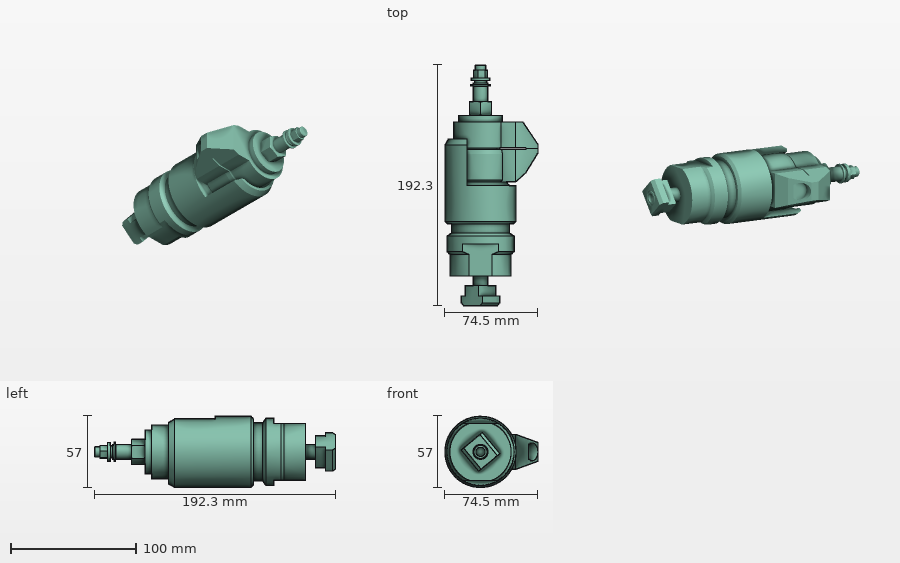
import cadquery as cq
import math


LENGTH = 192.3
ROD_R = 6.0
ROD_NECK_R = 5.0
ROD_TIP_R = 4.2
ROD_CHAMFER = 0.8
TIP_CHAMFER = 0.5
SOCKET_R = 3.7
SOCKET_DEPTH = 7.7

T_NUT_SIDE = 22.0
T_NUT_STEM_WIDTH = 13.8
T_NUT_HEAD_Y = 8.0
T_NUT_END_Y = 16.1
T_NUT_CHAMFER = 2.5
T_NUT_ANGLE = 39.5

BASE_Y = 23.8
BASE_NOSE_R = 24.5
BASE_FLANGE_R = 27.0
BASE_PLUG_R = 23.3
BASE_FLANGE_Y = 43.5
BASE_FLANGE_END_Y = 55.5
BASE_EDGE = 2.5
FLAT_HALF_WIDTH = 22.7
FLAT_END_Y = 49.2
PLUG_CONE = 2.9

HOUSING_R = 28.5
HOUSING_Y = 65.4
HOUSING_END_Y = 133.2
HOUSING_FRONT_CHAMFER = 2.1
HOUSING_REAR_CHAMFER = 2.9
HOUSING_REAR_CHAMFER_LENGTH = 5.0
WINDOW_Y = 96.0
WINDOW_LEFT_X = -10.5
WINDOW_FLOOR_Z = -18.3
WINDOW_FLOOR_SLOPE = 0.37
WINDOW_REACH = 38.5

LOWER_R = 22.5
LOWER_TOP_R = 22.0
LOWER_BOTTOM_CHAMFER = 1.5
LOWER_TAPER_Y = 121.0
PARTING_Y = 125.4
HALF_GAP = 0.5
CORE_R = 13.3
UPPER_R = 21.5
UPPER_END_Y = 146.7
COLLAR_R = 17.5
COLLAR_END_Y = 151.9

LUG_HALF_HEIGHT = 14.0
LUG_TIP_HALF_HEIGHT = 7.5
LUG_TIP_HALF_LENGTH = 3.3
LUG_TAPER_X = 28.0
LUG_LAND_X = 36.1
LUG_TIP_X = 46.0
LUG_KNEE_Y = 106.1
LUG_SHOULDER_X = 33.8
LUG_HOLE_R = 7.1
LUG_HOLE_Y = 114.5
LUG_HOLE_BOTTOM_X = 38.5

HEX_NUT_FLATS = 17.7
HEX_NUT_END_Y = 162.8
HEX_NUT_CORNER_CUT = 0.4
RETAINER_Y = 175.0
RETAINER_END_Y = 177.8
RETAINER_HUB_R = 6.0
RETAINER_FLANGE_R = 7.9
RETAINER_FLANGE_Y = 175.5
RETAINER_FLANGE_END_Y = 176.7
WASHER_R = 7.5
WASHER_Y = 179.5
WASHER_END_Y = 181.9
TIP_NUT_FLATS = 9.8
TIP_NUT_END_Y = 188.0
TIP_NUT_ANGLE = -8.0

LOWER_Y = WINDOW_Y + PLUG_CONE


def turned(points):
    """Revolve an outline of (radius, y) points about the Y axis."""
    return cq.Workplane("XY").polyline(points).close().revolve(360, (0, 0), (0, 1))


def ring(inner_r, outer_r, y_start, y_end):
    return turned([(inner_r, y_start), (outer_r, y_start), (outer_r, y_end), (inner_r, y_end)])


def section(y_start):
    """A work plane across the axis, with its local axes along X and Z."""
    return cq.Workplane("XZ", origin=(0, y_start, 0))


def make_rod():
    rod = turned([
        (0, 0),
        (ROD_R - ROD_CHAMFER, 0),
        (ROD_R, ROD_CHAMFER),
        (ROD_R, RETAINER_Y),
        (ROD_NECK_R, RETAINER_Y),
        (ROD_NECK_R, WASHER_Y),
        (ROD_TIP_R, WASHER_Y),
        (ROD_TIP_R, LENGTH - TIP_CHAMFER),
        (ROD_TIP_R - TIP_CHAMFER, LENGTH),
        (0, LENGTH),
    ])
    socket = section(0).circle(SOCKET_R).extrude(-SOCKET_DEPTH)
    return rod.cut(socket)


def make_t_nut():
    half_side = T_NUT_SIDE / 2
    half_stem = T_NUT_STEM_WIDTH / 2
    right_half = [
        (half_side - T_NUT_CHAMFER, 0),
        (half_side, T_NUT_CHAMFER),
        (half_side, T_NUT_HEAD_Y),
        (half_stem, T_NUT_HEAD_Y),
        (half_stem, T_NUT_END_Y),
    ]
    left_half = [(-x, y) for x, y in reversed(right_half)]
    nut = cq.Workplane("XY").polyline(right_half + left_half).close().extrude(half_side, both=True)
    nut = nut.cut(ring(0, ROD_R, 0, T_NUT_END_Y))
    return nut.rotate((0, 0, 0), (0, 1, 0), -T_NUT_ANGLE)


def make_base():
    base = turned([
        (ROD_R, BASE_Y),
        (BASE_NOSE_R, BASE_Y),
        (BASE_NOSE_R, BASE_FLANGE_Y - BASE_EDGE),
        (BASE_FLANGE_R, BASE_FLANGE_Y),
        (BASE_FLANGE_R, BASE_FLANGE_END_Y),
        (BASE_PLUG_R, BASE_FLANGE_END_Y + BASE_EDGE),
        (BASE_PLUG_R, WINDOW_Y),
        (BASE_PLUG_R - PLUG_CONE, LOWER_Y),
        (ROD_R, LOWER_Y),
    ])
    flat_depth = BASE_FLANGE_R - FLAT_HALF_WIDTH
    for side in (-1, 1):
        flat = (
            section(BASE_Y)
            .center(0, side * (FLAT_HALF_WIDTH + flat_depth / 2))
            .rect(2 * BASE_FLANGE_R, flat_depth)
            .extrude(BASE_Y - FLAT_END_Y)
        )
        base = base.cut(flat)
    return base


def make_housing():
    housing = turned([
        (BASE_PLUG_R, HOUSING_Y),
        (HOUSING_R - HOUSING_FRONT_CHAMFER, HOUSING_Y),
        (HOUSING_R, HOUSING_Y + HOUSING_FRONT_CHAMFER),
        (HOUSING_R, HOUSING_END_Y - HOUSING_REAR_CHAMFER_LENGTH),
        (HOUSING_R - HOUSING_REAR_CHAMFER, HOUSING_END_Y),
        (BASE_PLUG_R, HOUSING_END_Y),
    ])
    window = (
        section(WINDOW_Y)
        .polyline([
            (WINDOW_LEFT_X, WINDOW_REACH),
            (WINDOW_LEFT_X, 0),
            (0, WINDOW_FLOOR_Z),
            (WINDOW_REACH, WINDOW_FLOOR_Z - WINDOW_FLOOR_SLOPE * WINDOW_REACH),
            (WINDOW_REACH, WINDOW_REACH),
        ])
        .close()
        .extrude(WINDOW_Y - HOUSING_END_Y)
    )
    return housing.cut(window)


def lug(side_outline):
    """Extrude a lug outline in X and Y, tapered in height towards its tip."""
    plate = cq.Workplane("XY").polyline(side_outline).close().extrude(LUG_HALF_HEIGHT, both=True)
    taper = (
        section(LOWER_Y)
        .polyline([
            (0, -LUG_HALF_HEIGHT),
            (LUG_TAPER_X, -LUG_HALF_HEIGHT),
            (LUG_TIP_X, -LUG_TIP_HALF_HEIGHT),
            (LUG_TIP_X, LUG_TIP_HALF_HEIGHT),
            (LUG_TAPER_X, LUG_HALF_HEIGHT),
            (0, LUG_HALF_HEIGHT),
        ])
        .close()
        .extrude(LOWER_Y - UPPER_END_Y)
    )
    return plate.intersect(taper)


def make_lower_clamp():
    top_y = PARTING_Y - HALF_GAP
    body = turned([
        (0, LOWER_Y),
        (LOWER_R - LOWER_BOTTOM_CHAMFER, LOWER_Y),
        (LOWER_R, LOWER_Y + LOWER_BOTTOM_CHAMFER),
        (LOWER_R, LOWER_TAPER_Y),
        (LOWER_TOP_R, top_y),
        (0, top_y),
    ])
    clamp = body.union(lug([
        (0, LOWER_Y),
        (LUG_TAPER_X, LOWER_Y),
        (LUG_LAND_X, LUG_KNEE_Y),
        (LUG_TIP_X, PARTING_Y - LUG_TIP_HALF_LENGTH),
        (LUG_TIP_X, PARTING_Y),
        (LUG_LAND_X, PARTING_Y),
        (LUG_LAND_X, top_y),
        (0, top_y),
    ]))
    hole = (
        cq.Workplane("YZ", origin=(LUG_HOLE_BOTTOM_X, LUG_HOLE_Y, 0))
        .circle(LUG_HOLE_R)
        .extrude(LUG_TIP_X - LUG_HOLE_BOTTOM_X)
    )
    return clamp.cut(hole).cut(ring(0, ROD_R, LOWER_Y, top_y))


def make_upper_clamp():
    core_y = PARTING_Y - HALF_GAP
    bottom_y = PARTING_Y + HALF_GAP
    body = turned([
        (0, core_y),
        (CORE_R, core_y),
        (CORE_R, bottom_y),
        (UPPER_R, bottom_y),
        (UPPER_R, UPPER_END_Y),
        (COLLAR_R, UPPER_END_Y),
        (COLLAR_R, COLLAR_END_Y),
        (0, COLLAR_END_Y),
    ])
    clamp = body.union(lug([
        (0, bottom_y),
        (LUG_LAND_X, bottom_y),
        (LUG_LAND_X, PARTING_Y),
        (LUG_TIP_X, PARTING_Y),
        (LUG_TIP_X, PARTING_Y + LUG_TIP_HALF_LENGTH),
        (LUG_SHOULDER_X, UPPER_END_Y),
        (0, UPPER_END_Y),
    ]))
    return clamp.cut(ring(0, ROD_R, core_y, COLLAR_END_Y))


def hexagon(flats, bore_r, y_start, y_end, angle):
    """A hexagonal nut with one corner at the given angle from X towards Z."""
    corner_diameter = flats / math.cos(math.pi / 6)
    blank = section(y_start).polygon(6, corner_diameter).circle(bore_r).extrude(y_start - y_end)
    return blank.rotate((0, 0, 0), (0, 1, 0), -angle)


def make_hex_nut():
    nut = hexagon(HEX_NUT_FLATS, ROD_R, COLLAR_END_Y, HEX_NUT_END_Y, 90)
    corner_r = HEX_NUT_FLATS / 2 / math.cos(math.pi / 6)
    face_r = corner_r - 2 * HEX_NUT_CORNER_CUT
    corner_trim = turned([
        (0, COLLAR_END_Y),
        (face_r, COLLAR_END_Y),
        (corner_r, COLLAR_END_Y + HEX_NUT_CORNER_CUT),
        (corner_r, HEX_NUT_END_Y - HEX_NUT_CORNER_CUT),
        (face_r, HEX_NUT_END_Y),
        (0, HEX_NUT_END_Y),
    ])
    return nut.intersect(corner_trim)


def make_retainer():
    return turned([
        (ROD_NECK_R, RETAINER_Y),
        (RETAINER_HUB_R, RETAINER_Y),
        (RETAINER_HUB_R, RETAINER_FLANGE_Y),
        (RETAINER_FLANGE_R, RETAINER_FLANGE_Y),
        (RETAINER_FLANGE_R, RETAINER_FLANGE_END_Y),
        (RETAINER_HUB_R, RETAINER_FLANGE_END_Y),
        (RETAINER_HUB_R, RETAINER_END_Y),
        (ROD_NECK_R, RETAINER_END_Y),
    ])


rod = make_rod()
t_nut = make_t_nut()
base = make_base()
housing = make_housing()
lower_clamp = make_lower_clamp()
upper_clamp = make_upper_clamp()
hex_nut = make_hex_nut()
retainer = make_retainer()
washer = ring(ROD_TIP_R, WASHER_R, WASHER_Y, WASHER_END_Y)
tip_nut = hexagon(TIP_NUT_FLATS, ROD_TIP_R, WASHER_END_Y, TIP_NUT_END_Y, TIP_NUT_ANGLE)

bodies = [
    rod,
    t_nut,
    base,
    housing,
    lower_clamp,
    upper_clamp,
    hex_nut,
    retainer,
    washer,
    tip_nut,
]
result = cq.Compound.makeCompound([body.solids().val() for body in bodies])